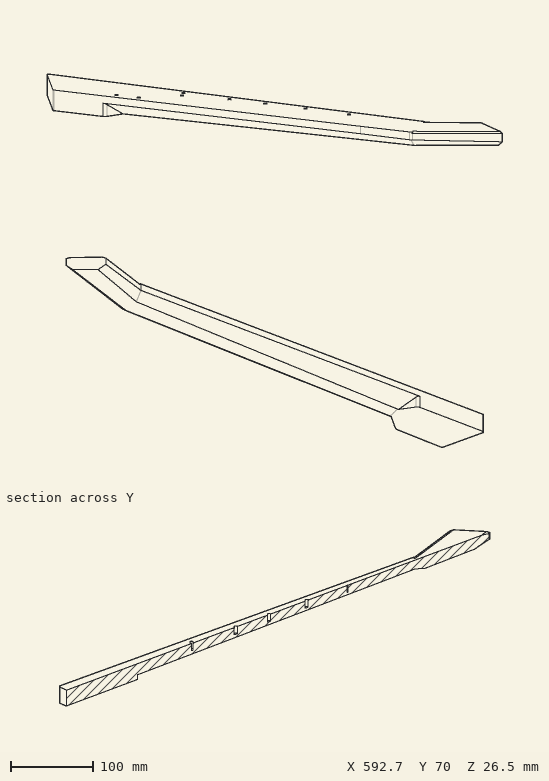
import cadquery as cq
import math

length = 593.0
width = 70.0
thickness = 26.5
overrun = 12.0

butt_front_x = 26.5
butt_rear_x = -1.0
butt_rear_y = 53.5
front_break = (423.0, 4.0)
bend_x = 488.5
bend_front_y = 5.5
bend_rear_y = 48.0
tip_rear_x = 552.5
tip_front_y = 43.0
butt_corner_radius = 2.0
bend_radius = 12.0

taper_start_x = 112.5
taper_start_z = -26.5
tip_bottom_z = -19.0

bevel_start_x = 93.5
shoulder_window = 6.0
bevel_start_z = -9.5
bevel_bend_z = -10.0
bevel_tip_z = -12.5
block_corner_radius = 6.5

tip_chamfer_start_x = 489.5
tip_chamfer_height = 2.0
tip_chamfer_width = 3.5

hole_diameter = 3.8
hole_depth = 12.0
hole_centers = [
    (105.5, 9.5), (134.0, 10.0), (179.0, 44.5), (181.0, 35.5),
    (239.5, 42.5), (286.0, 42.5), (338.0, 42.5), (395.0, 41.0),
]

front_slope = (tip_front_y - bend_front_y) / (length - bend_x)
rear_slope = (width - bend_rear_y) / (tip_rear_x - bend_x)


def front_edge_y(x):
    """Y of the front long edge at x."""
    if x > bend_x:
        return bend_front_y + front_slope * (x - bend_x)
    return bend_front_y * (x - butt_front_x) / (bend_x - butt_front_x)


def rear_edge_y(x):
    """Y of the rear long edge at x."""
    if x > bend_x:
        return bend_rear_y + rear_slope * (x - bend_x)
    return butt_rear_y + (bend_rear_y - butt_rear_y) * x / bend_x


def make_bar():
    """Flat bar with rounded vertical edges at the butt corners and the front bend."""
    bar = (
        cq.Workplane("XY")
        .polyline([
            (butt_rear_x, butt_rear_y),
            (butt_front_x, 0),
            front_break,
            (bend_x, bend_front_y),
            (length, tip_front_y),
            (tip_rear_x, width),
            (bend_x, bend_rear_y),
        ])
        .close()
        .extrude(-thickness)
    )
    butt_edges = cq.selectors.BoxSelector(
        (-overrun, -overrun, -thickness), (butt_front_x + overrun, width, 0)
    )
    bar = bar.edges("|Z").edges(butt_edges).fillet(butt_corner_radius)
    bend_edge = cq.selectors.NearestToPointSelector((bend_x, bend_front_y, -thickness / 2))
    return bar.edges("|Z").edges(bend_edge).fillet(bend_radius)


def make_taper_cut():
    """Wedge below the underside that thins the bar towards its tip."""
    return (
        cq.Workplane("XZ")
        .polyline([
            (taper_start_x, -thickness - overrun),
            (taper_start_x, taper_start_z),
            (length, tip_bottom_z),
            (length + overrun, tip_bottom_z),
            (length + overrun, -thickness - overrun),
        ])
        .close()
        .extrude(-width)
    )


def make_edge_cut(stations, edge_y, outward, height, depth):
    """Triangular cut along a long edge.

    Each station is (x, z of the bevel line on the side wall). From there the cut
    runs inward by depth while rising by height (falling if negative).
    """
    sections = []
    for x, z in stations:
        y = edge_y(x)
        slope = height / depth
        points = [
            cq.Vector(x, y + outward * overrun, z - slope * overrun),
            cq.Vector(x, y - outward * depth, z + height),
            cq.Vector(x, y + outward * overrun, z + height),
        ]
        sections.append(cq.Wire.makePolygon(points, close=True))
    return cq.Workplane(obj=cq.Solid.makeLoft(sections, True))


def make_block_keeper():
    """Full-depth butt block, its end walls running inward at 45 degrees."""
    half_width = butt_rear_y / 2
    front_y = front_edge_y(bevel_start_x)
    rear_y = rear_edge_y(bevel_start_x)
    apex_x = bevel_start_x + half_width - front_y
    keeper = (
        cq.Workplane("XY")
        .polyline([
            (-overrun, front_y),
            (bevel_start_x, front_y),
            (apex_x, half_width),
            (bevel_start_x, rear_y),
            (-overrun, rear_y),
        ])
        .close()
        .extrude(-thickness)
    )
    shoulder_edges = cq.selectors.BoxSelector(
        (bevel_start_x - shoulder_window, -overrun, -thickness),
        (bevel_start_x + shoulder_window, width, 0),
    )
    keeper = keeper.edges("|Z").edges(shoulder_edges).fillet(block_corner_radius)
    uncut_x = bevel_start_x - block_corner_radius * math.tan(math.pi / 8)
    uncut_block = (
        cq.Workplane("XY")
        .rect(2 * uncut_x, 2 * (width + overrun))
        .extrude(-thickness - overrun)
    )
    return keeper.union(uncut_block)


bevel_stations = [
    (bevel_start_x - overrun, bevel_start_z),
    (bend_x, bevel_bend_z),
    (length + overrun, bevel_tip_z),
]
chamfer_stations = [
    (tip_chamfer_start_x, -tip_chamfer_height),
    (length + overrun, -tip_chamfer_height),
]

result = make_bar().cut(make_taper_cut())
block_keeper = make_block_keeper()
for long_edge_y, outward_sign in ((front_edge_y, -1), (rear_edge_y, 1)):
    bevel = make_edge_cut(bevel_stations, long_edge_y, outward_sign, -thickness, thickness)
    result = result.cut(bevel.cut(block_keeper))
    chamfer = make_edge_cut(
        chamfer_stations, long_edge_y, outward_sign, tip_chamfer_height, tip_chamfer_width
    )
    result = result.cut(chamfer)

holes = cq.Workplane("XY").pushPoints(hole_centers).circle(hole_diameter / 2).extrude(-hole_depth)
result = result.cut(holes)